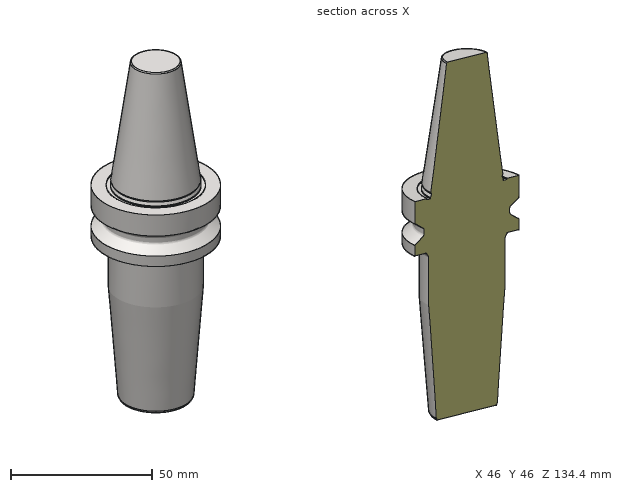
import cadquery as cq

total_height = 134.4
flange_radius = 23.0

flange_top = 84.8
shank_collar_height = 1.9
undercut_top_height = 1.2
undercut_radius = 15.6
shank_base_radius = 16.0
shank_foot_radius = 16.1
taper_ratio = 7 / 24
tip_chamfer = 0.4

relief_outer_radius = 17.6
relief_depth = 0.4

upper_rim_bottom = 76.3
groove_floor_top = 73.7
groove_floor_bottom = 71.1
lower_rim_top = 68.3
flange_bottom = 64.1
groove_floor_radius = 19.0
groove_corner_radius = 0.8

body_radius = 17.0
neck_radius = 17.9
neck_bottom = 62.2
neck_cone_bottom = 63.0
neck_cone_radius = 17.2
nose_taper_top = 44.4
nose_end_radius = 13.6
nose_chamfer_width = 0.5
nose_chamfer_height = 1.0

shank_base = flange_top + shank_collar_height
shank_tip_radius = shank_base_radius - (total_height - shank_base) * taper_ratio / 2
relief_floor = flange_top - relief_depth

profile = (
    cq.Workplane("XZ")
    .lineTo(nose_end_radius - nose_chamfer_width, 0)
    .lineTo(nose_end_radius, nose_chamfer_height)
    .lineTo(body_radius, nose_taper_top)
    .lineTo(body_radius, neck_bottom)
    .tangentArcPoint((neck_cone_radius, neck_cone_bottom), relative=False)
    .lineTo(neck_radius, flange_bottom)
    .lineTo(flange_radius, flange_bottom)
    .lineTo(flange_radius, lower_rim_top)
    .lineTo(groove_floor_radius, groove_floor_bottom)
    .lineTo(groove_floor_radius, groove_floor_top)
    .lineTo(flange_radius, upper_rim_bottom)
    .lineTo(flange_radius, flange_top)
    .lineTo(relief_outer_radius, flange_top)
    .lineTo(relief_outer_radius, relief_floor)
    .lineTo(shank_foot_radius, relief_floor)
    .lineTo(shank_foot_radius, flange_top)
    .lineTo(undercut_radius, flange_top + undercut_top_height)
    .lineTo(shank_base_radius, shank_base)
    .lineTo(shank_tip_radius, total_height - tip_chamfer)
    .lineTo(shank_tip_radius - tip_chamfer, total_height)
    .lineTo(0, total_height)
    .close()
)

body = profile.revolve(360, (0, 0, 0), (0, 1, 0))

corner_search_size = 0.3
groove_corners = cq.selectors.BoxSelector(
    (-flange_radius, -flange_radius, groove_floor_bottom - corner_search_size),
    (flange_radius, flange_radius, groove_floor_top + corner_search_size),
)
result = body.faces(groove_corners).edges("%CIRCLE").fillet(groove_corner_radius)